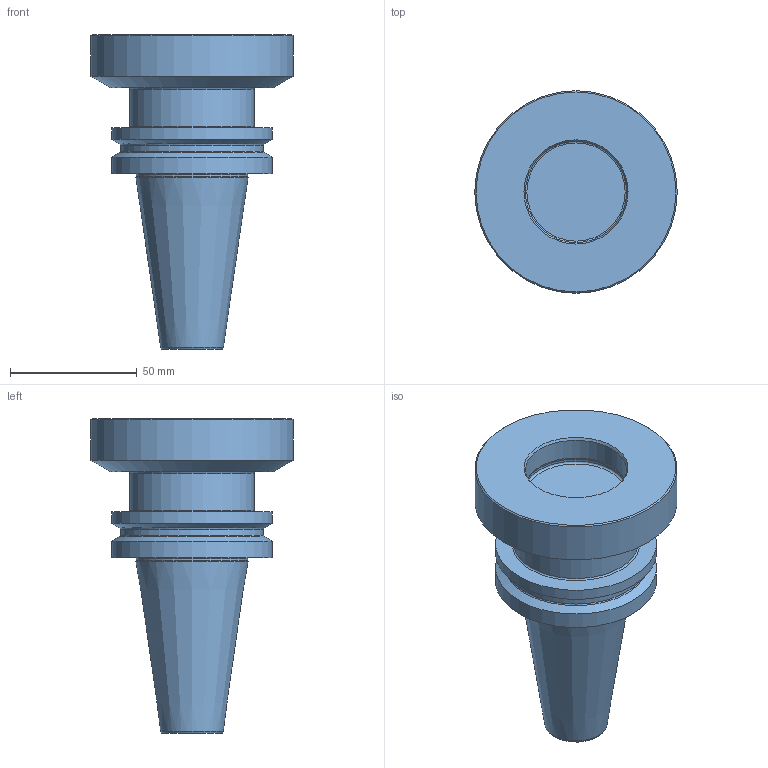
import cadquery as cq
import math


gauge_radius = 44.45 / 2
taper_slope = 7 / 48
shank_length = 68.4
tip_chamfer_height = 0.8
tip_chamfer_angle = 20

relief_radius = 21.95
relief_bottom = -0.1
relief_fillet = 0.4

flange_radius = 63.55 / 2
flange_bottom = 1.0
flange_top = 19.1
groove_centre = 11.1
groove_mouth = 7.15
groove_floor_radius = 28.25
groove_flank_angle = 30
groove_fillet = 0.6

neck_radius = 49.25 / 2
neck_fillet = 0.6

head_radius = 40.0
head_top = 56.0
head_bottom = 35.0
head_cone_bottom_radius = 32.1
head_cone_angle = 30
head_edge_chamfer = 0.5

bore_radius = 20.0
bore_depth = 12.0
bore_mouth_chamfer_height = 1.0
bore_mouth_chamfer_angle = 30
undercut_height = 2.5
undercut_depth = 0.2
undercut_run_out_angle = 15
bore_floor_fillet = 0.8


def revolve_profile(points):
    """Solid of revolution about Z from (radius, height) points; both ends lie on the axis."""
    return cq.Workplane("XZ").polyline(points).close().revolve(360, (0, 0, 0), (0, 1, 0))


def ring_edge(body, radius, height):
    """Circular edge of the given radius centred on the axis at the given height."""
    tolerance = 0.01
    low = (-radius - 1, -radius - 1, height - tolerance)
    high = (radius + 1, radius + 1, height + tolerance)
    edges = body.edges(cq.selectors.BoxSelector(low, high, boundingbox=True))
    return edges.edges("%CIRCLE").filter(lambda edge: abs(edge.radius() - radius) < tolerance)


def make_shank():
    tip_radius = gauge_radius - taper_slope * shank_length
    chamfer_top = tip_chamfer_height - shank_length
    chamfer_top_radius = gauge_radius + taper_slope * chamfer_top
    chamfer_inset = tip_chamfer_height * math.tan(math.radians(tip_chamfer_angle))
    step_depth = (gauge_radius + taper_slope * relief_bottom - relief_radius) / (1 + taper_slope)
    return revolve_profile([
        (0, -shank_length),
        (tip_radius - chamfer_inset, -shank_length),
        (chamfer_top_radius, chamfer_top),
        (relief_radius + step_depth, relief_bottom - step_depth),
        (relief_radius, relief_bottom),
        (relief_radius, flange_bottom),
        (0, flange_bottom),
    ])


def make_flange():
    flank_rise = (flange_radius - groove_floor_radius) * math.tan(math.radians(groove_flank_angle))
    mouth_bottom = groove_centre - groove_mouth / 2
    mouth_top = groove_centre + groove_mouth / 2
    floor_bottom = mouth_bottom + flank_rise
    floor_top = mouth_top - flank_rise
    flange = revolve_profile([
        (0, flange_bottom),
        (flange_radius, flange_bottom),
        (flange_radius, mouth_bottom),
        (groove_floor_radius, floor_bottom),
        (groove_floor_radius, floor_top),
        (flange_radius, mouth_top),
        (flange_radius, flange_top),
        (0, flange_top),
    ])
    for corner_height in (floor_bottom, floor_top):
        flange = ring_edge(flange, groove_floor_radius, corner_height).fillet(groove_fillet)
    return flange


def make_head():
    cone_height = (head_radius - head_cone_bottom_radius) * math.tan(math.radians(head_cone_angle))
    head = revolve_profile([
        (0, head_bottom),
        (head_cone_bottom_radius, head_bottom),
        (head_radius, head_bottom + cone_height),
        (head_radius, head_top),
        (0, head_top),
    ])
    return ring_edge(head, head_radius, head_top).chamfer(head_edge_chamfer)


def make_neck():
    neck_length = head_bottom - flange_top
    return cq.Workplane("XY").workplane(offset=flange_top).circle(neck_radius).extrude(neck_length)


def make_bore():
    floor_height = head_top - bore_depth
    undercut_top = floor_height + undercut_height
    undercut_radius = bore_radius + undercut_depth
    run_out_height = undercut_depth / math.tan(math.radians(undercut_run_out_angle))
    chamfer_width = bore_mouth_chamfer_height * math.tan(math.radians(bore_mouth_chamfer_angle))
    bore = revolve_profile([
        (0, floor_height),
        (undercut_radius, floor_height),
        (undercut_radius, undercut_top - run_out_height),
        (bore_radius, undercut_top),
        (bore_radius, head_top - bore_mouth_chamfer_height),
        (bore_radius + chamfer_width, head_top),
        (0, head_top),
    ])
    return ring_edge(bore, undercut_radius, floor_height).fillet(bore_floor_fillet)


result = make_shank().union(make_flange()).union(make_neck()).union(make_head())
for neck_end in (flange_top, head_bottom):
    result = ring_edge(result, neck_radius, neck_end).fillet(neck_fillet)
result = ring_edge(result, relief_radius, flange_bottom).fillet(relief_fillet)
result = result.cut(make_bore())